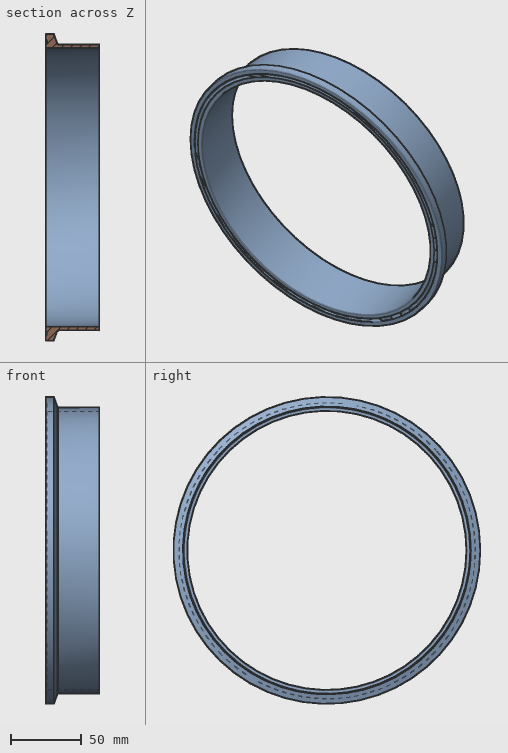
import cadquery as cq

overall_length = 38.0
flange_diameter = 217.7
tube_outer_diameter = 203.0
tube_bore_diameter = 197.7

rim_thickness = 5.9
cone_length = 2.6

groove_mean_diameter = 207.0
groove_width = 2.8
groove_depth = 0.9

edge_radius = 0.4
neck_radius = 0.9

match_tolerance = 0.0002

flange_radius = flange_diameter / 2
tube_outer_radius = tube_outer_diameter / 2
bore_radius = tube_bore_diameter / 2
groove_mean_radius = groove_mean_diameter / 2
groove_inner_radius = groove_mean_radius - groove_width / 2
groove_outer_radius = groove_mean_radius + groove_width / 2

face_x = -overall_length / 2
rim_back_x = face_x + rim_thickness
neck_x = rim_back_x + cone_length
groove_bottom_x = face_x + groove_depth
end_x = face_x + overall_length


def sharp_ring():
    """Revolve the half section about X; in the section, Y is the radius."""
    section = (
        cq.Workplane("XY")
        .moveTo(face_x, bore_radius)
        .lineTo(face_x, groove_inner_radius)
        .threePointArc((groove_bottom_x, groove_mean_radius), (face_x, groove_outer_radius))
        .lineTo(face_x, flange_radius)
        .lineTo(rim_back_x, flange_radius)
        .lineTo(neck_x, tube_outer_radius)
        .lineTo(end_x, tube_outer_radius)
        .lineTo(end_x, bore_radius)
        .close()
    )
    return section.revolve(360, (0, 0, 0), (1, 0, 0))


def circles_at(body, x, radii):
    """Select the circular edges in the plane at x that have one of the given radii."""

    def matches(edge):
        in_plane = abs(edge.Center().x - x) < match_tolerance
        return in_plane and any(abs(edge.radius() - r) < match_tolerance for r in radii)

    return body.newObject([edge for edge in body.edges("%CIRCLE").vals() if matches(edge)])


ring = sharp_ring()

face_radii = [bore_radius, groove_inner_radius, groove_outer_radius, flange_radius]
ring = circles_at(ring, face_x, face_radii).fillet(edge_radius)

ring = circles_at(ring, end_x, [tube_outer_radius, bore_radius]).fillet(edge_radius)

result = circles_at(ring, neck_x, [tube_outer_radius]).fillet(neck_radius)